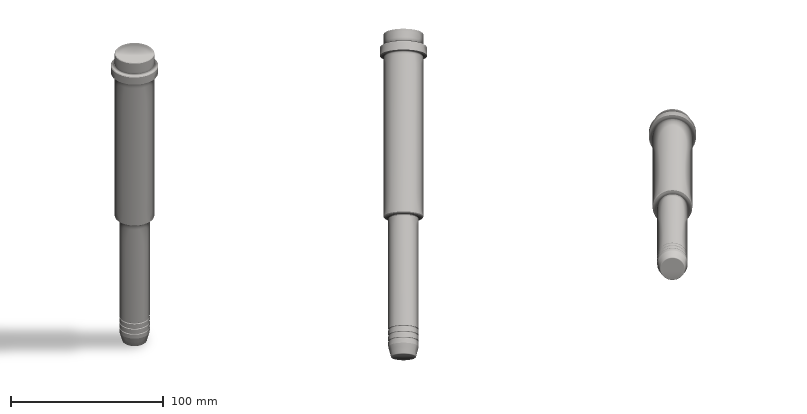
import cadquery as cq
import math

TOTAL_LENGTH = 220.0
HEAD_LENGTH = 9.0
COLLAR_HEIGHT = 6.0
PIN_LENGTH = 95.0

SHANK_DIAMETER = 26.0
COLLAR_DIAMETER = 31.0
PIN_DIAMETER = 20.0

COLLAR_CHAMFER = 0.5
SHANK_CHAMFER = 0.5
HEAD_CHAMFER = 0.4
NOSE_FILLET = 0.5

NOSE_LENGTH = 7.0
NOSE_HALF_ANGLE = 15.0
NOSE_TIP_DIAMETER = PIN_DIAMETER - 2 * NOSE_LENGTH * math.tan(math.radians(NOSE_HALF_ANGLE))

SHANK_RELIEF_RADIUS = 0.5
PIN_RELIEF_WIDTH = 1.0
PIN_RELIEF_DEPTH = 1.0

GROOVE_COUNT = 3
GROOVE_PITCH = 4.0
GROOVE_RADIUS = 0.5

COLLAR_TOP = TOTAL_LENGTH - HEAD_LENGTH
COLLAR_BOTTOM = COLLAR_TOP - COLLAR_HEIGHT


def cylinder(diameter, bottom, top):
    """Cylinder on the Z axis between two levels."""
    return cq.Workplane("XY").workplane(offset=bottom).circle(diameter / 2).extrude(top - bottom)


def ring_groove(diameter, depth, bottom, width):
    """Ring of material that cuts a square groove into a cylinder of the given diameter."""
    floor_diameter = diameter - 2 * depth
    return cylinder(diameter, bottom, bottom + width).cut(cylinder(floor_diameter, bottom, bottom + width))


def round_ring(diameter, level, radius):
    """Round-section ring, centred on a cylinder's surface at a level, that cuts a half-round groove."""
    section = cq.Workplane("XZ").center(diameter / 2, level).circle(radius)
    return section.revolve(360, (-diameter / 2, 0), (-diameter / 2, 1))


def make_collar():
    """Locating collar with its upper rim chamfered."""
    collar = cylinder(COLLAR_DIAMETER, COLLAR_BOTTOM, COLLAR_TOP)
    return collar.faces(">Z").edges().chamfer(COLLAR_CHAMFER)


def make_shank():
    """Large fitted length, including the head above the collar, relieved on both sides of the collar."""
    shank = cylinder(SHANK_DIAMETER, PIN_LENGTH, TOTAL_LENGTH)
    shank = shank.faces("<Z").edges().chamfer(SHANK_CHAMFER)
    shank = shank.faces(">Z").edges().chamfer(HEAD_CHAMFER)
    for level in (COLLAR_TOP + SHANK_RELIEF_RADIUS, COLLAR_BOTTOM - SHANK_RELIEF_RADIUS):
        shank = shank.cut(round_ring(SHANK_DIAMETER, level, SHANK_RELIEF_RADIUS))
    return shank


def make_nose():
    """Tapered lead-in with a rounded tip."""
    nose = (
        cq.Workplane("XY")
        .circle(NOSE_TIP_DIAMETER / 2)
        .workplane(offset=NOSE_LENGTH)
        .circle(PIN_DIAMETER / 2)
        .loft(ruled=True)
    )
    return nose.faces("<Z").edges().fillet(NOSE_FILLET)


def make_pin():
    """Slim guiding length with oil grooves near the nose and a relief under the shank."""
    pin = cylinder(PIN_DIAMETER, NOSE_LENGTH, PIN_LENGTH)
    relief_bottom = PIN_LENGTH - PIN_RELIEF_WIDTH
    pin = pin.cut(ring_groove(PIN_DIAMETER, PIN_RELIEF_DEPTH, relief_bottom, PIN_RELIEF_WIDTH))
    for index in range(GROOVE_COUNT):
        groove_top = NOSE_LENGTH + (index + 1) * GROOVE_PITCH
        pin = pin.cut(round_ring(PIN_DIAMETER, groove_top - GROOVE_RADIUS, GROOVE_RADIUS))
    return pin


result = make_shank().union(make_collar()).union(make_pin()).union(make_nose())